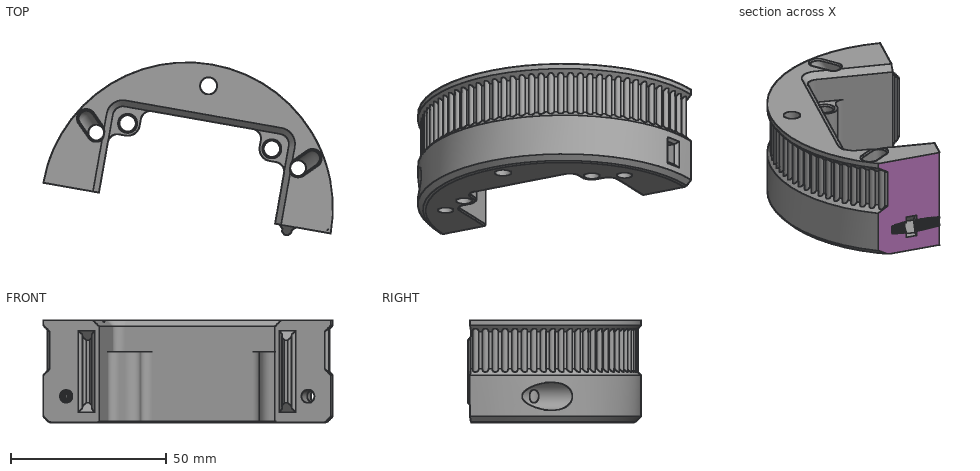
import cadquery as cq
import math

TURN_ANGLE = -10.0

HEIGHT = 33.0
OUTER_RADIUS = 47.0
BOTTOM_CHAMFER = 2.0

GROOVE_DEPTH = 2.0
GROOVE_BOTTOM = 15.3
GROOVE_TOP = 31.3
TEETH_PER_TURN = 90
TOOTH_RADIUS = 1.0

OPENING_HALF = 28.75
OPENING_CORNER_RADIUS = 3.3
OPENING_TOP_CHAMFER = 2.0
OPENING_BOTTOM_CHAMFER = 0.5

MOTOR_HOLE_OFFSET = 23.57
BOSS_RADIUS = 4.0
BOSS_BLEND_RADIUS = 3.0
BOSS_HEIGHT = 22.9
MOTOR_HOLE_DIAMETER = 5.2

EDGE_CHAMFER = 0.5

REAR_HOLE_DIAMETER = 5.4
REAR_HOLE_DISTANCE = 40.0

CHANNEL_DIAMETER = 5.0
CHANNEL_BORE_X = 33.0
CHANNEL_BORE_Y = 18.9
CHANNEL_RUN = 4.0
CHANNEL_BEND_RADIUS = 3.2

KEY_CENTRE = 32.9
KEY_BASE_HALF_WIDTH = 2.7
KEY_NECK_HALF_WIDTH = 1.55
KEY_DEPTH = 3.0
KEY_TIP_CHAMFER = 1.0
KEY_LENGTH = 26.2

SCREW_OFFSET = 39.5
SCREW_HEIGHT = 8.5
CLEARANCE_DIAMETER = 4.2
CLEARANCE_LENGTH = 10.7
HEAD_BORE_DIAMETER = 9.0
THREAD_MINOR_DIAMETER = 3.33
THREAD_MAJOR_DIAMETER = 4.11
THREAD_PITCH = 0.7
THREAD_TURNS = 24
NUT_WIDTH = 7.0
NUT_SLOT_START = 8.0
NUT_SLOT_THICKNESS = 3.5
NUT_SLOT_CHAMFER = 1.0

CUT_REACH = 2 * OUTER_RADIUS


def mirrored(tool):
    """The tool together with its mirror image on the -X side."""
    return tool.union(tool.mirror("YZ"))


def make_body():
    """Half ring with the belt groove and bottom chamfer in its revolved profile."""
    root_radius = OUTER_RADIUS - GROOVE_DEPTH
    return (
        cq.Workplane("XZ")
        .moveTo(0, 0)
        .lineTo(OUTER_RADIUS - BOTTOM_CHAMFER, 0)
        .lineTo(OUTER_RADIUS, BOTTOM_CHAMFER)
        .lineTo(OUTER_RADIUS, GROOVE_BOTTOM)
        .lineTo(root_radius, GROOVE_BOTTOM + GROOVE_DEPTH)
        .lineTo(root_radius, GROOVE_TOP - GROOVE_DEPTH)
        .lineTo(OUTER_RADIUS, GROOVE_TOP)
        .lineTo(OUTER_RADIUS, HEIGHT)
        .lineTo(0, HEIGHT)
        .close()
        .revolve(180, (0, 0, 0), (0, 1, 0))
    )


def make_teeth():
    """Round belt teeth standing on the groove root, half a pitch in from each end."""
    pitch_angle = 360.0 / TEETH_PER_TURN
    root_radius = OUTER_RADIUS - GROOVE_DEPTH
    centres = []
    for index in range(TEETH_PER_TURN // 2):
        angle = math.radians((index + 0.5) * pitch_angle)
        centres.append((root_radius * math.cos(angle), root_radius * math.sin(angle)))
    return (
        cq.Workplane("XY")
        .workplane(offset=GROOVE_BOTTOM)
        .pushPoints(centres)
        .circle(TOOTH_RADIUS)
        .extrude(GROOVE_TOP - GROOVE_BOTTOM)
    )


def make_opening():
    """Rounded square motor opening with a rim flared at the top face."""
    prism = (
        cq.Workplane("XY")
        .rect(2 * OPENING_HALF, 2 * OPENING_HALF)
        .extrude(HEIGHT)
        .edges("|Z")
        .fillet(OPENING_CORNER_RADIUS)
    )
    rim_half = OPENING_HALF + OPENING_TOP_CHAMFER
    rim_outline = cq.Sketch().rect(2 * rim_half, 2 * rim_half).vertices()
    rim_outline = rim_outline.fillet(OPENING_CORNER_RADIUS + OPENING_TOP_CHAMFER)
    rim = (
        cq.Workplane("XY", origin=(0, 0, HEIGHT))
        .placeSketch(rim_outline)
        .extrude(-OPENING_TOP_CHAMFER, taper=45)
    )
    return prism.union(rim)


def make_boss():
    """Right-hand motor boss, blended into both walls of the opening corner."""
    flank = MOTOR_HOLE_OFFSET - BOSS_RADIUS
    blend_end = flank - BOSS_BLEND_RADIUS
    blend_side = OPENING_HALF - BOSS_BLEND_RADIUS
    blend_mid_wall = OPENING_HALF - BOSS_BLEND_RADIUS * (1 - math.sqrt(0.5))
    blend_mid_flank = blend_end + BOSS_BLEND_RADIUS * math.sqrt(0.5)
    nose = MOTOR_HOLE_OFFSET - BOSS_RADIUS * math.sqrt(0.5)
    return (
        cq.Workplane("XY")
        .moveTo(OPENING_HALF, OPENING_HALF)
        .lineTo(OPENING_HALF, blend_end)
        .threePointArc((blend_mid_wall, blend_mid_flank), (blend_side, flank))
        .lineTo(MOTOR_HOLE_OFFSET, flank)
        .threePointArc((nose, nose), (flank, MOTOR_HOLE_OFFSET))
        .lineTo(flank, blend_side)
        .threePointArc((blend_mid_flank, blend_mid_wall), (blend_end, OPENING_HALF))
        .close()
        .extrude(BOSS_HEIGHT)
    )


def make_motor_hole():
    """Right-hand motor hole with a chamfer at the boss top."""
    hole_radius = MOTOR_HOLE_DIAMETER / 2
    hole = cq.Workplane("XY").circle(hole_radius).extrude(BOSS_HEIGHT)
    chamfer = (
        cq.Workplane("XY", origin=(0, 0, BOSS_HEIGHT))
        .circle(hole_radius + EDGE_CHAMFER)
        .extrude(-EDGE_CHAMFER, taper=45)
    )
    return hole.union(chamfer).translate((MOTOR_HOLE_OFFSET, MOTOR_HOLE_OFFSET, 0))


def make_channel():
    """Right-hand channel: bore, 45 degree run with rounded bends, and the slot above it."""
    radius = CHANNEL_DIAMETER / 2
    run_length = CHANNEL_RUN * math.sqrt(2)
    run_top = HEIGHT - EDGE_CHAMFER
    bend_height = run_top - run_length

    half_bend = math.radians(22.5)
    bend_trim = CHANNEL_BEND_RADIUS * math.tan(half_bend)
    bend_shift = bend_trim * math.sqrt(0.5)
    mid_cos = CHANNEL_BEND_RADIUS * math.cos(half_bend)
    mid_sin = CHANNEL_BEND_RADIUS * math.sin(half_bend)
    lower_start = (0, bend_height - bend_trim)
    lower_mid = (CHANNEL_BEND_RADIUS - mid_cos, lower_start[1] + mid_sin)
    lower_end = (bend_shift, bend_height + bend_shift)
    upper_start = (run_length - bend_shift, run_top - bend_shift)
    upper_end = (run_length, run_top + bend_trim)
    upper_mid = (run_length - CHANNEL_BEND_RADIUS + mid_cos, upper_end[1] - mid_sin)

    bore = cq.Workplane("XY").circle(radius).extrude(HEIGHT)
    centre_line = (
        cq.Workplane("XZ")
        .moveTo(*lower_start)
        .threePointArc(lower_mid, lower_end)
        .lineTo(*upper_start)
        .threePointArc(upper_mid, upper_end)
    )
    run = cq.Workplane("XY", origin=(0, 0, lower_start[1])).circle(radius).sweep(centre_line)
    slot_walls = (
        cq.Workplane("XZ", origin=(0, radius, 0))
        .moveTo(0, bend_height)
        .lineTo(*upper_start)
        .threePointArc(upper_mid, upper_end)
        .lineTo(0, upper_end[1])
        .close()
        .extrude(CHANNEL_DIAMETER)
    )
    tool = bore.union(run).union(slot_walls)

    below_top = cq.Workplane("XY").rect(CUT_REACH, CUT_REACH).extrude(run_top)
    mouth_diameter = CHANNEL_DIAMETER + 2 * EDGE_CHAMFER
    mouth = (
        cq.Workplane("XY", origin=(run_length / 2, 0, HEIGHT))
        .slot2D(run_length + mouth_diameter, mouth_diameter)
        .extrude(-EDGE_CHAMFER, taper=45)
    )
    tool = tool.intersect(below_top).union(mouth)
    tool = tool.rotate((0, 0, 0), (0, 0, 1), 45)
    return tool.translate((CHANNEL_BORE_X, CHANNEL_BORE_Y, 0))


def make_key():
    """Upright rib standing on the split plane towards -Y, with flanks and ends at 45 degrees."""
    neck_depth = KEY_BASE_HALF_WIDTH - KEY_NECK_HALF_WIDTH
    shoulder_depth = KEY_DEPTH - KEY_TIP_CHAMFER
    tip_half_width = KEY_NECK_HALF_WIDTH - KEY_TIP_CHAMFER
    profile = (
        cq.Workplane("XY")
        .polyline([
            (-KEY_BASE_HALF_WIDTH, 0),
            (-KEY_NECK_HALF_WIDTH, -neck_depth),
            (-KEY_NECK_HALF_WIDTH, -shoulder_depth),
            (-tip_half_width, -KEY_DEPTH),
            (tip_half_width, -KEY_DEPTH),
            (KEY_NECK_HALF_WIDTH, -shoulder_depth),
            (KEY_NECK_HALF_WIDTH, -neck_depth),
            (KEY_BASE_HALF_WIDTH, 0),
        ])
        .close()
        .extrude(KEY_LENGTH)
    )
    end_limits = (
        cq.Workplane("YZ", origin=(-KEY_BASE_HALF_WIDTH, 0, 0))
        .polyline([
            (0, 0),
            (-KEY_DEPTH, KEY_DEPTH),
            (-KEY_DEPTH, KEY_LENGTH - KEY_DEPTH),
            (0, KEY_LENGTH),
        ])
        .close()
        .extrude(2 * KEY_BASE_HALF_WIDTH)
    )
    key = profile.intersect(end_limits)
    return key.translate((0, 0, (HEIGHT - KEY_LENGTH) / 2))


def bore_from_split(diameter, start, length):
    """Cylinder at the origin along +Y, standing square to the split plane."""
    return cq.Workplane("XZ", origin=(0, start, 0)).circle(diameter / 2).extrude(-length)


def make_clearance_hole():
    """Screw clearance hole opening into a head bore that runs out through the ring."""
    shank = bore_from_split(CLEARANCE_DIAMETER, 0, CLEARANCE_LENGTH)
    head = bore_from_split(HEAD_BORE_DIAMETER, CLEARANCE_LENGTH, OUTER_RADIUS - CLEARANCE_LENGTH)
    return shank.union(head).translate((SCREW_OFFSET, 0, SCREW_HEIGHT))


def make_tapped_hole():
    """Tapped hole with its thread as a stack of V grooves, starting open at the split face."""
    minor = THREAD_MINOR_DIAMETER / 2
    major = THREAD_MAJOR_DIAMETER / 2
    outline = [(0, 0)]
    for turn in range(THREAD_TURNS):
        outline.append((major, turn * THREAD_PITCH))
        outline.append((minor, (turn + 0.5) * THREAD_PITCH))
    outline.append((0, (THREAD_TURNS - 0.5) * THREAD_PITCH))
    tool = cq.Workplane("XY").polyline(outline).close().revolve(360, (0, 0, 0), (0, 1, 0))
    return tool.translate((-SCREW_OFFSET, 0, SCREW_HEIGHT))


def make_nut_slot():
    """Slot that takes a hexagon nut from the outside, pointed at its inner end."""
    half_width = NUT_WIDTH / 2
    half_side_angle = math.radians(30)
    flat_end = half_width * math.tan(half_side_angle)
    point = half_width / math.cos(half_side_angle)
    return (
        cq.Workplane("XZ", origin=(-SCREW_OFFSET, NUT_SLOT_START, SCREW_HEIGHT))
        .polyline([
            (-OUTER_RADIUS, -half_width),
            (flat_end, -half_width),
            (point, 0),
            (flat_end, half_width),
            (-OUTER_RADIUS, half_width),
        ])
        .close()
        .extrude(-NUT_SLOT_THICKNESS)
    )


def make_rear_hole():
    """Plain through hole between the opening and the outer face."""
    hole = cq.Workplane("XY").circle(REAR_HOLE_DIAMETER / 2).extrude(HEIGHT)
    return hole.translate((0, REAR_HOLE_DISTANCE, 0))


def chamfer_opening_bottom(part):
    """Break the bottom edge of the opening and bosses, leaving the split face edges sharp."""
    margin = OPENING_BOTTOM_CHAMFER
    reach = OPENING_HALF + margin
    opening_edges = cq.selectors.BoxSelector((-reach, margin, -margin), (reach, reach, margin))
    return part.faces("<Z").edges(opening_edges).chamfer(OPENING_BOTTOM_CHAMFER)


def cut_nut_slot(part):
    """Cut the nut slot and chamfer its mouth on the outer face."""
    slot_end = NUT_SLOT_START + NUT_SLOT_THICKNESS
    mouth_edges = cq.selectors.BoxSelector(
        (-OUTER_RADIUS, NUT_SLOT_START - NUT_SLOT_CHAMFER, SCREW_HEIGHT - NUT_WIDTH),
        (-SCREW_OFFSET - NUT_WIDTH / 2, slot_end + NUT_SLOT_CHAMFER, SCREW_HEIGHT + NUT_WIDTH),
    )
    return part.cut(make_nut_slot()).edges(mouth_edges).chamfer(NUT_SLOT_CHAMFER)


def make_part():
    """The complete part before its turn about Z."""
    part = make_body().cut(make_opening()).union(mirrored(make_boss()))
    part = chamfer_opening_bottom(part)
    part = cut_nut_slot(part)
    part = part.union(make_teeth())

    part = part.cut(mirrored(make_motor_hole()))
    part = part.cut(mirrored(make_channel()))
    part = part.cut(make_rear_hole())
    part = part.cut(make_clearance_hole())
    part = part.cut(make_tapped_hole())

    rib = make_key().translate((KEY_CENTRE, 0, 0))
    socket = make_key().mirror("XZ").translate((-KEY_CENTRE, 0, 0))
    return part.union(rib).cut(socket)


result = make_part().rotate((0, 0, 0), (0, 0, 1), TURN_ANGLE)